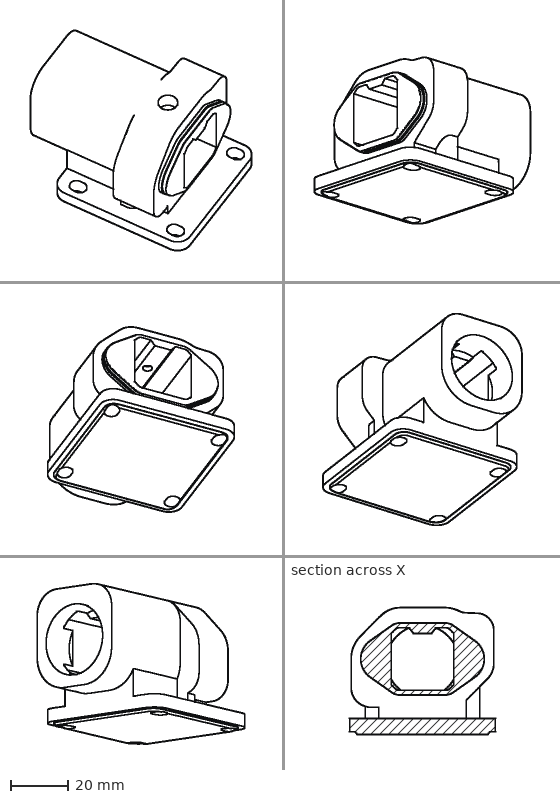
import cadquery as cq
import math

length = 67.0
pocket_start = 7.7
bore_end = 13.0
base_start = 14.0
collar_start = 38.6
shoulder_end = 44.6
collar_end = 55.0
seal_start = 56.15
seal_end = 57.8
rim_end = 59.1

plate_width = 51.0
plate_corner_radius = 5.0
plate_bottom = 0.95
plate_top = 5.6
pad_margin_x_low = 1.75
pad_margin_x_high = 2.15
pad_half_width = 23.5
pad_corner_radius = 3.7
pad_edge_chamfer = 0.8

slot_length = 6.3
slot_width = 4.8
slot_half_pitch = 20.5
slot_stations = (21.8, 61.25)

pedestal_half_width = 15.2
shoulder_half_width = 19.95
shoulder_corner_radius = 3.15

body_top = 44.3
body_bottom = 8.9
body_half_width = 16.55
body_top_radius = 8.6
body_bottom_radius = 12.0

brow_radius = 9.85
brow_start_y = -7.65
brow_split_angle = math.radians(17.4)
brow_end_angle = math.radians(45)

collar_half_width = 24.9
collar_bottom = 9.5
front_side_top = 26.3
front_side_bottom = 16.4
front_slope_end = (-21.65, 34.3)
front_foot_radius = 6.85
back_crown_start_y = 8.1
back_crown_end = (13.1, 42.95)
back_shelf_start = (15.0, 42.5)
back_shelf_end = (18.55, 42.35)
back_side_top = 36.25
back_side_bottom = 25.1
back_slope_start = (22.65, 19.35)

mating_center_z = 26.3
rim_half_width = 21.6
rim_half_height = 12.6
rim_flat_half_width = 7.9
rim_shoulder_radius = 4.8
rim_end_radius = 7.8
lip_inset = 0.2
seal_radius = 0.9
rim_edge_radius = 0.8

bore_diameter = 25.1
bore_center_z = 25.45
pocket_size = 21.7
pocket_corner_chamfer = 1.9
pocket_corner_radius = 2.0
key_height = 2.0
key_tip_half_width = 3.15
key_root_half_width = 4.7

well_x = 45.95
well_radius = 3.4
well_depth = 5.35
screw_hole_radius = 1.6


def section(x):
    """Plane across the part at station x, with local axes Y and Z."""
    return cq.Workplane("YZ", origin=(x, 0, 0))


def block(x_low, x_high, half_width, z_low, z_high):
    """Box symmetric about Y = 0."""
    return cq.Workplane("XY").box(
        x_high - x_low, 2 * half_width, z_high - z_low, centered=(False, True, False)
    ).translate((x_low, 0, z_low))


def brow_point(angle):
    """Point on the shared front top arc, the angle being its turn from horizontal."""
    y = brow_start_y - brow_radius * math.sin(angle)
    z = body_top - brow_radius * (1 - math.cos(angle))
    return (y, z)


def make_plate():
    plate = block(base_start, length, plate_width / 2, plate_bottom, plate_top)
    plate = plate.edges("|Z").fillet(plate_corner_radius)
    pad = block(
        base_start + pad_margin_x_low, length - pad_margin_x_high, pad_half_width, 0, plate_bottom
    )
    pad = pad.edges("|Z").fillet(pad_corner_radius)
    pad = pad.faces("<Z").chamfer(pad_edge_chamfer)
    return plate.union(pad)


def make_plate_slots():
    centers = [(x, side * slot_half_pitch) for x in slot_stations for side in (-1, 1)]
    return cq.Workplane("XY").pushPoints(centers).slot2D(slot_length, slot_width).extrude(plate_top)


def make_pedestal():
    pedestal = block(base_start, collar_end, pedestal_half_width, plate_bottom, bore_center_z)
    shoulder = block(
        collar_start, shoulder_end, shoulder_half_width, plate_bottom, back_slope_start[1]
    )
    shoulder = shoulder.edges("|Z and >X").fillet(shoulder_corner_radius)
    above_front_foot = cq.Workplane("XY").box(
        shoulder_end - collar_start, shoulder_half_width, body_top, centered=False
    ).translate((collar_start, -shoulder_half_width, front_side_bottom))
    return pedestal.union(shoulder.cut(above_front_foot))


def make_body():
    bottom_flat = body_half_width - body_bottom_radius
    top_flat = body_half_width - body_top_radius
    lower_tangent_z = body_bottom + body_bottom_radius
    upper_tangent_z = body_top - body_top_radius
    profile = (
        section(0)
        .moveTo(top_flat, body_top)
        .lineTo(brow_start_y, body_top)
        .tangentArcPoint(brow_point(brow_split_angle), relative=False)
        .tangentArcPoint((-body_half_width, upper_tangent_z), relative=False)
        .lineTo(-body_half_width, lower_tangent_z)
        .tangentArcPoint((-bottom_flat, body_bottom), relative=False)
        .lineTo(bottom_flat, body_bottom)
        .tangentArcPoint((body_half_width, lower_tangent_z), relative=False)
        .lineTo(body_half_width, upper_tangent_z)
        .tangentArcPoint((top_flat, body_top), relative=False)
        .close()
    )
    return profile.extrude(collar_start)


def make_collar():
    front_foot_y = -collar_half_width + front_foot_radius
    slope_drop = back_slope_start[0] - pedestal_half_width
    profile = (
        section(collar_start)
        .moveTo(back_crown_start_y, body_top)
        .lineTo(brow_start_y, body_top)
        .tangentArcPoint(brow_point(brow_end_angle), relative=False)
        .lineTo(*front_slope_end)
        .tangentArcPoint((-collar_half_width, front_side_top), relative=False)
        .lineTo(-collar_half_width, front_side_bottom)
        .tangentArcPoint((front_foot_y, collar_bottom), relative=False)
        .lineTo(-pedestal_half_width, collar_bottom)
        .lineTo(-pedestal_half_width, plate_top)
        .lineTo(pedestal_half_width, plate_top)
        .lineTo(pedestal_half_width, back_slope_start[1] - slope_drop)
        .lineTo(*back_slope_start)
        .tangentArcPoint((collar_half_width, back_side_bottom), relative=False)
        .lineTo(collar_half_width, back_side_top)
        .tangentArcPoint(back_shelf_end, relative=False)
        .lineTo(*back_shelf_start)
        .tangentArcPoint(back_crown_end, relative=False)
        .tangentArcPoint((back_crown_start_y, body_top), relative=False)
        .close()
    )
    return profile.extrude(collar_end - collar_start)


def rim_outline(x, inset=0.0):
    """Outline of the mating rim at station x, moved inwards by the inset.

    Each slope is the common tangent of a shoulder arc and an end arc.
    """
    shoulder_center_z = rim_half_height - rim_shoulder_radius
    end_center_y = rim_half_width - rim_end_radius
    center_run = end_center_y - rim_flat_half_width
    center_distance = math.hypot(center_run, shoulder_center_z)
    normal_angle = math.acos((rim_shoulder_radius - rim_end_radius) / center_distance)
    normal_angle -= math.atan2(shoulder_center_z, center_run)

    shoulder_radius = rim_shoulder_radius - inset
    end_radius = rim_end_radius - inset
    top = rim_half_height - inset
    tip = rim_half_width - inset
    flat = rim_flat_half_width
    shoulder_y = flat + shoulder_radius * math.cos(normal_angle)
    shoulder_z = shoulder_center_z + shoulder_radius * math.sin(normal_angle)
    slope_y = end_center_y + end_radius * math.cos(normal_angle)
    slope_z = end_radius * math.sin(normal_angle)
    return (
        cq.Workplane("YZ", origin=(x, 0, mating_center_z))
        .moveTo(-flat, top)
        .lineTo(flat, top)
        .tangentArcPoint((shoulder_y, shoulder_z), relative=False)
        .lineTo(slope_y, slope_z)
        .threePointArc((tip, 0), (slope_y, -slope_z))
        .lineTo(shoulder_y, -shoulder_z)
        .tangentArcPoint((flat, -top), relative=False)
        .lineTo(-flat, -top)
        .tangentArcPoint((-shoulder_y, -shoulder_z), relative=False)
        .lineTo(-slope_y, -slope_z)
        .threePointArc((-tip, 0), (-slope_y, slope_z))
        .lineTo(-shoulder_y, shoulder_z)
        .tangentArcPoint((-flat, top), relative=False)
        .close()
    )


def rim_slice(x_low, x_high, inset=0.0):
    return rim_outline(x_low, inset).extrude(x_high - x_low)


def make_seal():
    """Round seal ring lying in the groove between the rim root and the lip."""
    seal_mid = (seal_start + seal_end) / 2
    path = rim_outline(seal_mid, seal_radius)
    path_start = (seal_mid, -rim_flat_half_width, mating_center_z + rim_half_height - seal_radius)
    ring = cq.Workplane("XZ", origin=path_start).circle(seal_radius).sweep(path)
    return rim_slice(seal_start, seal_end, seal_radius).union(ring)


def make_rim():
    root = rim_slice(collar_end, seal_start)
    lip = rim_slice(seal_end, rim_end, lip_inset).faces(">X").edges().fillet(rim_edge_radius)
    return root.union(make_seal()).union(lip)


def make_cavity():
    bore = section(0).center(0, bore_center_z).circle(bore_diameter / 2).extrude(bore_end)
    pocket = (
        section(pocket_start)
        .center(0, mating_center_z)
        .rect(pocket_size, pocket_size)
        .extrude(rim_end - pocket_start)
        .edges("|X")
        .chamfer(pocket_corner_chamfer)
        .faces("<Z or >Z")
        .edges("|X")
        .fillet(pocket_corner_radius)
    )
    return bore.union(pocket)


def make_key():
    root_z = mating_center_z + pocket_size / 2
    tip_z = root_z - key_height
    corners = [
        (-key_root_half_width, root_z),
        (-key_tip_half_width, tip_z),
        (key_tip_half_width, tip_z),
        (key_root_half_width, root_z),
    ]
    return section(bore_end).polyline(corners).close().extrude(rim_end - bore_end)


def make_screw_well():
    cone_depth = well_depth + well_radius - screw_hole_radius
    half_profile = [
        (0, body_top),
        (well_radius, body_top),
        (well_radius, body_top - well_depth),
        (screw_hole_radius, body_top - cone_depth),
        (screw_hole_radius, mating_center_z),
        (0, mating_center_z),
    ]
    well = cq.Workplane("XZ").polyline(half_profile).close().revolve(360, (0, 0, 0), (0, 1, 0))
    return well.translate((well_x, 0, 0))


result = make_plate().cut(make_plate_slots())
result = result.union(make_pedestal()).union(make_body()).union(make_collar()).union(make_rim())
result = result.cut(make_cavity()).union(make_key()).cut(make_screw_well())